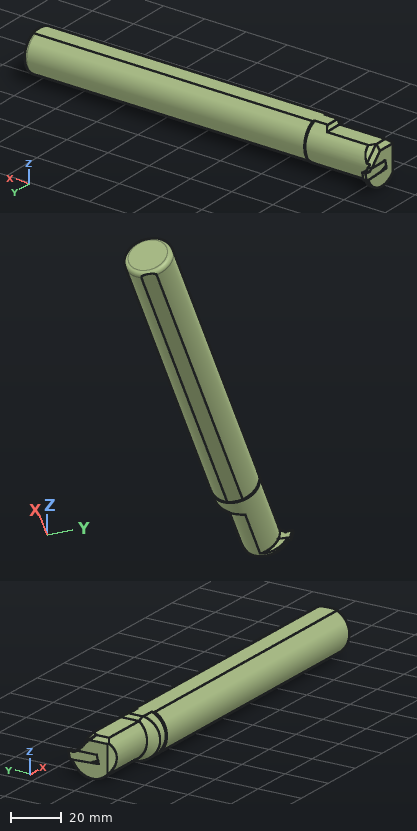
import cadquery as cq

total_length = 170.0
shank_radius = 10.0
shank_start = 33.0
shank_top = 9.0
shank_bottom = -9.5
shank_end_fillet = 2.0
shank_start_chamfer = 0.35

neck_radius = 9.87
neck_axis_y = 0.13
neck_axis_z = -0.28
head_axis_y = 3.87
head_length = 25.0
head_top = 7.4

side_chamfer = 2.6
top_chamfer_length = 2.8
top_chamfer_drop = 1.55

relief_sum = 11.15
relief_length = 3.0

insert_width = 1.6
insert_tip_y = 15.0
insert_tip_z = neck_axis_z
insert_top = 0.3
insert_bottom = -3.4
floor_fall = 0.04
front_clearance = 0.9
breaker_floor_y = 12.2
breaker_floor_z = -0.6
breaker_end_y = 11.2
pocket_wall_top_y = 1.7
pocket_wall_bottom_y = 0.8
insert_corner_y = 4.8
insert_corner_rise = 1.2

reach = 2 * shank_radius


def disc_bar(axis_y, axis_z, radius, start, end):
    """Round bar along X between two stations."""
    plane = cq.Workplane("YZ", origin=(start, axis_y, axis_z))
    return plane.circle(radius).extrude(end - start)


def side_prism(points):
    """X-Z outline extruded across the whole bar in Y."""
    return cq.Workplane("XZ").polyline(points).close().extrude(reach, both=True)


def make_shank():
    shank = disc_bar(0, 0, shank_radius, shank_start, total_length)
    shank = shank.faces(">X").edges().fillet(shank_end_fillet)
    shank = shank.faces("<X").edges().chamfer(shank_start_chamfer)
    between_flats = side_prism([
        (shank_start, shank_bottom),
        (total_length, shank_bottom),
        (total_length, shank_top),
        (shank_start, shank_top),
    ])
    return shank.intersect(between_flats)


def make_head_envelope():
    """Head cylinder that flares at 45 degrees into the neck."""
    flare_length = shank_start - head_length
    cylinder = disc_bar(head_axis_y, neck_axis_z, neck_radius, 0, head_length)
    flare = cq.Workplane(cq.Solid.makeCone(
        neck_radius,
        neck_radius + flare_length,
        flare_length,
        pnt=cq.Vector(head_length, head_axis_y, neck_axis_z),
        dir=cq.Vector(1, 0, 0),
    ))
    return cylinder.union(flare)


def make_top_outline():
    """Prism below the front chamfer, the head flat, the shoulder slope and the neck flat."""
    shoulder_rise = shank_top - head_top
    return side_prism([
        (0, -reach),
        (0, head_top - top_chamfer_drop),
        (top_chamfer_length, head_top),
        (head_length, head_top),
        (head_length + shoulder_rise, shank_top),
        (shank_start, shank_top),
        (shank_start, -reach),
    ])


def make_side_chamfer():
    """45 degree corner taken off the -Y front edge of the head."""
    head_side_y = head_axis_y - neck_radius
    corner = [
        (0, head_side_y + side_chamfer),
        (0, head_side_y - reach),
        (side_chamfer + reach, head_side_y - reach),
    ]
    return cq.Workplane("XY").polyline(corner).close().extrude(reach, both=True)


def make_relief():
    """45 degree relief beside the insert, with a back wall that leans 45 degrees to its floor."""
    offset = relief_sum / 2
    plane = cq.Plane(origin=(0, offset, offset), xDir=(1, 0, 0), normal=(0, -1, 1))
    section = [
        (0, 0),
        (relief_length, 0),
        (relief_length + reach, reach),
        (0, reach),
    ]
    return cq.Workplane(plane).polyline(section).close().extrude(reach, both=True)


def floor_height(y):
    """Height of the sloping pocket floor at a given Y."""
    return insert_bottom - floor_fall * (y - pocket_wall_bottom_y)


def make_pocket():
    profile = [
        (pocket_wall_top_y, insert_top),
        (reach, insert_top),
        (reach, floor_height(reach)),
        (pocket_wall_bottom_y, insert_bottom),
    ]
    return cq.Workplane("YZ").polyline(profile).close().extrude(insert_width)


def make_holder():
    neck = disc_bar(neck_axis_y, neck_axis_z, neck_radius, 0, shank_start)
    front = neck.intersect(make_head_envelope())
    insert_support = disc_bar(head_axis_y, neck_axis_z, neck_radius, 0, insert_width)
    front = front.union(insert_support)
    front = front.intersect(make_top_outline())
    front = front.cut(make_side_chamfer()).cut(make_relief()).cut(make_pocket())
    return front.union(make_shank())


def make_insert():
    wall_slope = (pocket_wall_top_y - pocket_wall_bottom_y) / (insert_top - insert_bottom)
    insert_heel_y = insert_tip_y - front_clearance
    wall_corner_y = pocket_wall_bottom_y + wall_slope * insert_corner_rise
    profile = [
        (insert_tip_y, insert_tip_z),
        (breaker_floor_y, breaker_floor_z),
        (breaker_end_y, insert_top),
        (pocket_wall_top_y, insert_top),
        (wall_corner_y, insert_bottom + insert_corner_rise),
        (insert_corner_y, floor_height(insert_corner_y)),
        (insert_heel_y, floor_height(insert_heel_y)),
    ]
    return cq.Workplane("YZ").polyline(profile).close().extrude(insert_width)


holder = make_holder()
insert = make_insert()

result = cq.Compound.makeCompound([holder.val(), insert.val()])